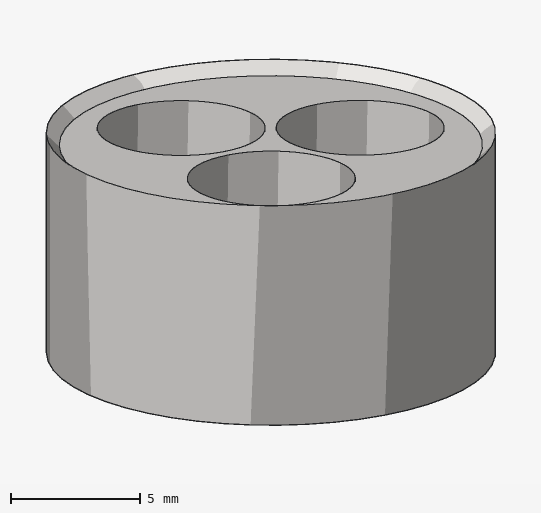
import cadquery as cq

body_diameter = 17.4
body_height = 9.0

recess_depth = 0.5
recess_floor_radius = body_diameter / 2 - recess_depth

hole_count = 3
hole_diameter = 6.5
hole_circle_radius = 4.0
first_hole_angle = 90

body = (
    cq.Workplane("XZ")
    .lineTo(body_diameter / 2, 0)
    .lineTo(body_diameter / 2, body_height)
    .lineTo(recess_floor_radius, body_height - recess_depth)
    .lineTo(0, body_height - recess_depth)
    .close()
    .revolve(360, (0, 0, 0), (0, 1, 0))
)

holes = (
    cq.Workplane("XY")
    .polarArray(hole_circle_radius, first_hole_angle, 360, hole_count)
    .circle(hole_diameter / 2)
    .extrude(body_height)
)

result = body.cut(holes)